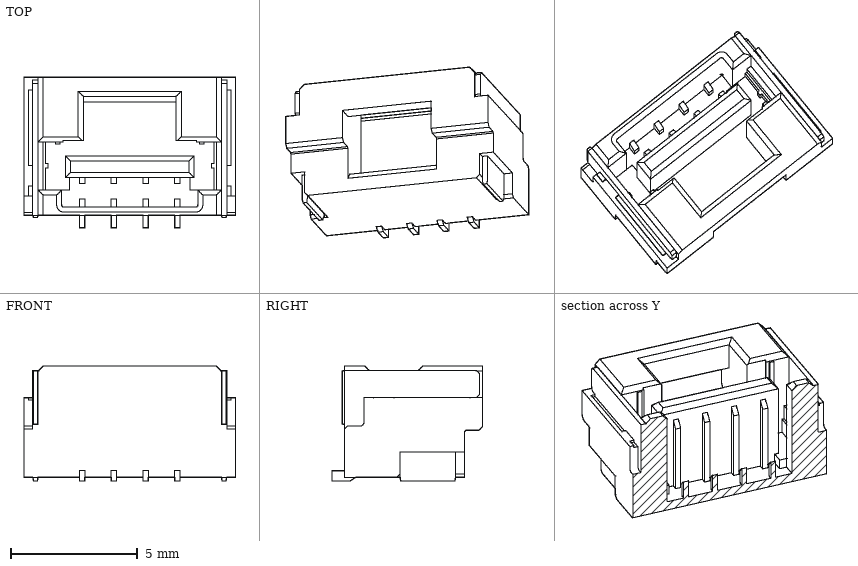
import cadquery as cq
import math


overall_width = 8.35
core_width = 7.22
body_depth = 5.45
body_height = 4.40
foot_depth = 4.74
overhang_z = 1.85
overhang_chamfer = 0.15
overhang_corner = 0.05
rim_chamfer = 0.20

floor_z = 0.80
floor_edge_chamfer = 0.26
front_wall = 0.33
front_slot_width = 5.36
front_slot_radius = 0.09
front_slot_floor_z = 0.40
front_slot_rear_width = 4.76
corner_depth = 1.00
block_front_y = 2.90
block_recess_width = 5.27
block_recess_depth = 0.06
window_width = 3.66
window_rear_y = 4.69
window_top_z = 3.14

rib_width = 0.17
rib_height = 0.09
block_rib_x = 2.84
side_rib_y = 1.96
upper_ledge_width = 0.20
upper_ledge_z = 2.00
lower_ledge_width = 0.29
lower_ledge_z = 1.40

plate_thickness = 0.215
plate_top_z = 4.22
plate_rear_y = 5.33
plate_corner = 0.13
plate_front_z = 2.08
plate_tip = 0.09
tip_inset = 0.03
ear_top_z = 3.14
ear_step_y = 0.77
ear_step_z = 2.02
ear_step_radius = 0.15
ear_front_chamfer = 0.12
ear_groove_width = 0.17
ear_groove_depth = 0.09
ear_groove_spans = ((1.96, 4.95), (ear_step_y, 1.15))

pad_front_y = 2.19
pad_rear_y = 4.39
pad_recess_z = 1.00
foot_chamfer = 0.13
seat_drop = 0.15

tongue_width = 5.08
tongue_front_y = 1.49
tongue_rear_y = 2.35
tongue_top_z = 3.97

contact_count = 4
contact_pitch = 1.25
contact_width = 0.22
contact_tail = 0.49
contact_tail_top_z = 0.27
contact_heel_y = 0.45
contact_sole_y = 0.22
tongue_arm_thickness = 0.23
tongue_arm_top_z = 3.43
tongue_arm_shoulder_z = 3.14
front_arm_thickness = 0.32
front_arm_top_z = 1.30
front_arm_shoulder_z = 0.98

half_core = core_width / 2
half_overall = overall_width / 2
plate_outer_x = half_core + plate_thickness
plate_center_x = half_core + plate_thickness / 2


def block(x_span, y_span, z_span):
    """Box between the given limits."""
    size = [span[1] - span[0] for span in (x_span, y_span, z_span)]
    return cq.Workplane("XY").box(*size, centered=False).translate((x_span[0], y_span[0], z_span[0]))


def centered_block(width, y_span, z_span):
    """Box of the given width, symmetrical about X = 0."""
    return block((-width / 2, width / 2), y_span, z_span)


def side_profile(points, x_start, x_end):
    """Prism between two X positions from a closed (Y, Z) outline."""
    return cq.Workplane("YZ").polyline(points).close().extrude(x_end - x_start).translate((x_start, 0, 0))


def taper_angle(length):
    """Taper, in degrees, that narrows a tip of this length by the tip inset on each side."""
    return math.degrees(math.atan2(tip_inset, length))


def both_sides(solid):
    """The solid together with its mirror image in X."""
    return solid.union(solid.mirror("YZ"))


def rear_outline():
    """(Y, Z) points of the stepped rear, from the overhang down to the foot."""
    return [
        (body_depth, overhang_z + overhang_chamfer),
        (body_depth - overhang_chamfer, overhang_z),
        (foot_depth + overhang_corner, overhang_z),
        (foot_depth, overhang_z - overhang_corner),
        (foot_depth, 0),
    ]


def make_core():
    """Central housing with the open cavity and the chamfered top rim."""
    outline = [(0, 0), (0, body_height), (body_depth, body_height)] + rear_outline()
    core = side_profile(outline, -half_core, half_core)

    main_cavity = centered_block(core_width, (corner_depth, block_front_y), (floor_z, body_height))
    window = centered_block(window_width, (block_front_y, window_rear_y), (floor_z, body_height))
    slot_span = (front_wall, tongue_front_y)
    front_slot = centered_block(front_slot_width, slot_span, (floor_z, body_height))
    front_slot = front_slot.edges("|Z and <Y").fillet(front_slot_radius)
    core = core.cut(main_cavity).cut(window).cut(front_slot)

    rim = core.faces(">Z").edges("not (<Y or >Y)")
    core = rim.chamfer(rim_chamfer)

    recess_span = (block_front_y, block_front_y + block_recess_depth)
    core = core.cut(centered_block(block_recess_width, recess_span, (floor_z, body_height)))
    return core


def cut_floor_and_rear(core):
    """Rear opening below the back wall, bevelled floor edge and deep front slot."""
    core = core.cut(centered_block(window_width, (window_rear_y, body_depth), (floor_z, window_top_z)))
    bevel = [
        (foot_depth, floor_z),
        (foot_depth - floor_edge_chamfer, floor_z),
        (foot_depth, floor_z - floor_edge_chamfer),
    ]
    core = core.cut(side_profile(bevel, -window_width / 2, window_width / 2))

    slot_z = (front_slot_floor_z, floor_z)
    core = core.cut(centered_block(front_slot_width, (front_wall, corner_depth), slot_z))
    return core.cut(centered_block(front_slot_rear_width, (corner_depth, tongue_front_y), slot_z))


def make_ear():
    """Outer side wing on +X, with its stepped front and two shallow top grooves."""
    arc_side = ear_step_radius * (1 - math.sqrt(0.5))
    wing = (
        cq.Workplane("YZ")
        .moveTo(0, 0)
        .lineTo(0, ear_step_z - ear_front_chamfer)
        .lineTo(ear_front_chamfer, ear_step_z)
        .lineTo(ear_step_y - ear_step_radius, ear_step_z)
        .threePointArc(
            (ear_step_y - arc_side, ear_step_z + arc_side),
            (ear_step_y, ear_step_z + ear_step_radius),
        )
        .lineTo(ear_step_y, ear_top_z)
        .lineTo(body_depth, ear_top_z)
    )
    for point in rear_outline():
        wing = wing.lineTo(*point)
    wing = wing.close().extrude(half_overall - half_core).translate((half_core, 0, 0))

    groove_x = (plate_outer_x, plate_outer_x + ear_groove_width)
    for groove_y in ear_groove_spans:
        wing = wing.cut(block(groove_x, groove_y, (ear_top_z - ear_groove_depth, ear_top_z)))
    return wing


def make_plate():
    """Upright side plate on +X, closing the cavity side and ending in a front tip."""
    outline = [
        (0, 0),
        (0, plate_top_z),
        (plate_rear_y - plate_corner, plate_top_z),
        (plate_rear_y, plate_top_z - plate_corner),
        (plate_rear_y, ear_top_z + plate_corner),
        (plate_rear_y - plate_corner, ear_top_z),
        (ear_step_y, ear_top_z),
        (ear_step_y, 0),
    ]
    plate = side_profile(outline, half_core, plate_outer_x)
    tip = (
        cq.Workplane("XZ")
        .center(plate_center_x, (plate_front_z + plate_top_z) / 2)
        .rect(plate_thickness, plate_top_z - plate_front_z)
        .extrude(plate_tip, taper=taper_angle(plate_tip))
    )
    return plate.union(tip)


def make_pad_recess():
    """Pocket at the foot of the +X side, with a bevelled lower edge."""
    outline = [
        (foot_depth, 0),
        (foot_depth, pad_recess_z),
        (pad_front_y, pad_recess_z),
        (pad_front_y, foot_chamfer),
        (pad_front_y - foot_chamfer, 0),
    ]
    pocket = side_profile(outline, half_core, half_overall)
    bevel = (
        cq.Workplane("XZ")
        .polyline([(half_core, 0), (half_core, foot_chamfer), (half_core - foot_chamfer, 0)])
        .close()
        .extrude(-(foot_depth - pad_front_y + foot_chamfer))
        .translate((0, pad_front_y - foot_chamfer, 0))
    )
    return pocket.union(bevel)


def make_pad():
    """Solder pad on +X, standing in the pocket and reaching below the housing."""
    pad = block((half_core, plate_outer_x), (pad_front_y, pad_rear_y), (0, pad_recess_z))
    foot = (
        cq.Workplane("XY")
        .center(plate_center_x, (pad_front_y + pad_rear_y) / 2)
        .rect(plate_thickness, pad_rear_y - pad_front_y)
        .extrude(-seat_drop, taper=taper_angle(seat_drop))
    )
    return pad.union(foot)


def make_cavity_ribs():
    """Ledges along the +X cavity wall, and the small ribs on that wall and the block."""
    wall_span = (corner_depth, block_front_y)
    upper = block((half_core - upper_ledge_width, half_core), wall_span, (floor_z, upper_ledge_z))
    lower_x = half_core - lower_ledge_width
    lower = block((lower_x, half_core), wall_span, (floor_z, lower_ledge_z))
    side_rib = block(
        (lower_x - rib_height, lower_x),
        (side_rib_y - rib_width / 2, side_rib_y + rib_width / 2),
        (floor_z, lower_ledge_z),
    )
    block_rib = block(
        (block_rib_x - rib_width / 2, block_rib_x + rib_width / 2),
        (block_front_y - rib_height, block_front_y),
        (floor_z, body_height - rim_chamfer),
    )
    return upper.union(lower).union(side_rib).union(block_rib)


def make_tongue():
    """Central tongue rising from the cavity floor."""
    tongue = centered_block(tongue_width, (tongue_front_y, tongue_rear_y), (floor_z, tongue_top_z))
    return tongue.faces(">Z").edges().chamfer(rim_chamfer)


def make_contact(x_center):
    """One contact: the solder tail and its two arms in the cavity."""
    x_start = x_center - contact_width / 2
    x_end = x_center + contact_width / 2
    tail = [
        (-contact_tail, -seat_drop),
        (-contact_tail, contact_tail_top_z),
        (contact_heel_y, contact_tail_top_z),
        (contact_heel_y, 0),
        (contact_sole_y, -seat_drop),
    ]
    tongue_arm = [
        (tongue_front_y, front_slot_floor_z),
        (tongue_front_y, tongue_arm_top_z),
        (tongue_front_y - tongue_arm_thickness, tongue_arm_shoulder_z),
        (tongue_front_y - tongue_arm_thickness, front_slot_floor_z),
    ]
    front_arm = [
        (front_wall, front_slot_floor_z),
        (front_wall, front_arm_top_z),
        (front_wall + front_arm_thickness, front_arm_shoulder_z),
        (front_wall + front_arm_thickness, front_slot_floor_z),
    ]
    contact = side_profile(tail, x_start, x_end)
    contact = contact.union(side_profile(tongue_arm, x_start, x_end))
    return contact.union(side_profile(front_arm, x_start, x_end))


result = cut_floor_and_rear(make_core())
for side_feature in (make_ear(), make_plate(), make_cavity_ribs()):
    result = result.union(both_sides(side_feature))
result = result.cut(both_sides(make_pad_recess()))
result = result.union(both_sides(make_pad()))
result = result.union(make_tongue())
for index in range(contact_count):
    result = result.union(make_contact((index - (contact_count - 1) / 2) * contact_pitch))